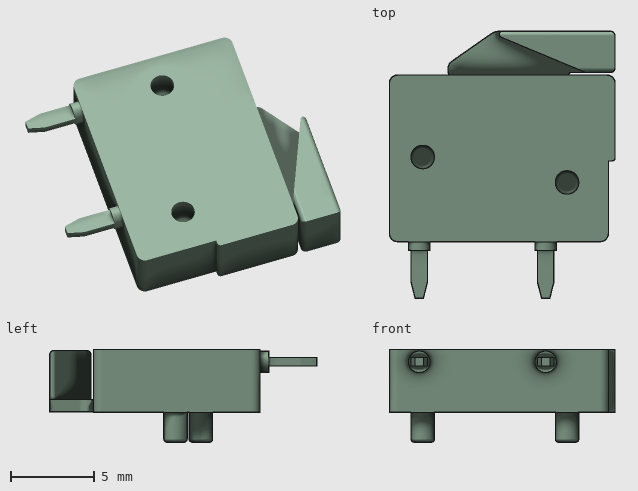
import cadquery as cq

body_width = 13.6
body_length = 10.05
body_height = 3.8
corner_radius = 0.5
step_depth = 0.4
step_y = 4.86
step_radius = 0.2

peg_diameter = 1.42
peg_length = 1.8
peg_tip_radius = 0.2
peg_centers = [(2.01, 5.1), (10.7, 3.57)]

terminal_count = 2
terminal_x = 1.8
terminal_pitch = 7.62
terminal_z = 3.05
collar_diameter = 1.3
collar_length = 0.52
blade_width = 1.0
blade_thickness = 0.53
blade_reach = 3.41
taper_length = 0.98
tip_width = blade_width / 2

actuator_reach = 2.64
actuator_back = body_length + actuator_reach
actuator_gap = 0.15
actuator_front = body_length + actuator_gap
actuator_end_radius = 0.3
plate_bottom = 0.03
plate_top = 0.77
plate_left = 3.53
plate_root = 0.29
plate_shoulder = 0.66
plate_back_left = 6.36
plate_root_right = 10.8
plate_pivot_radius = 0.58
plate_back_radius = 1.0
block_top = 3.74
block_back_left = 5.86
block_front_left = 11.83
block_nose_radius = 0.2
block_edge_radius = 0.29


def make_housing():
    housing = (
        cq.Workplane("XY")
        .box(body_width, body_length, body_height, centered=False)
        .edges("|Z").edges("<X or >Y").fillet(corner_radius)
    )
    step = (
        cq.Workplane("XY")
        .box(step_depth, step_y, body_height, centered=False)
        .translate((body_width - step_depth, 0, 0))
    )
    housing = housing.cut(step)
    front_corner = cq.selectors.NearestToPointSelector((body_width - step_depth, 0, body_height / 2))
    step_corner = cq.selectors.NearestToPointSelector((body_width, step_y, body_height / 2))
    housing = housing.edges(front_corner).fillet(corner_radius)
    return housing.edges(step_corner).fillet(step_radius)


def make_peg(top_z):
    """Round-tipped pins hanging down from top_z at every peg position."""
    return (
        cq.Workplane("XY")
        .workplane(offset=top_z)
        .pushPoints(peg_centers)
        .circle(peg_diameter / 2)
        .extrude(-peg_length)
        .faces("<Z").edges().fillet(peg_tip_radius)
    )


def make_terminal(center_x):
    """A round collar with a flat blade that narrows towards its tip."""
    collar = (
        cq.Workplane("XZ")
        .center(center_x, terminal_z)
        .circle(collar_diameter / 2)
        .extrude(collar_length)
    )
    taper_start = taper_length - blade_reach
    blade = (
        cq.Workplane("XY")
        .workplane(offset=terminal_z - blade_thickness / 2)
        .center(center_x, 0)
        .polyline([
            (-blade_width / 2, 0),
            (-blade_width / 2, taper_start),
            (-tip_width / 2, -blade_reach),
            (tip_width / 2, -blade_reach),
            (blade_width / 2, taper_start),
            (blade_width / 2, 0),
        ])
        .close()
        .extrude(blade_thickness)
    )
    return collar.union(blade)


def round_vertical_edge(solid, x, y, z, radius):
    """Fillet the vertical edge nearest to the point (x, y, z)."""
    return solid.edges("|Z").edges(cq.selectors.NearestToPointSelector((x, y, z))).fillet(radius)


def round_actuator_end(solid, z):
    """Round both +X corners, which the plate and the block share."""
    for y in (actuator_front, actuator_back):
        solid = round_vertical_edge(solid, body_width, y, z, actuator_end_radius)
    return solid


def make_plate():
    root_y = body_length - plate_root
    shoulder_y = body_length + plate_shoulder
    mid_z = (plate_bottom + plate_top) / 2
    plate = (
        cq.Workplane("XY")
        .workplane(offset=plate_bottom)
        .polyline([
            (plate_left, root_y),
            (plate_left, shoulder_y),
            (plate_back_left, actuator_back),
            (body_width, actuator_back),
            (body_width, actuator_front),
            (plate_root_right, actuator_front),
            (plate_root_right, root_y),
        ])
        .close()
        .extrude(plate_top - plate_bottom)
    )
    plate = round_vertical_edge(plate, plate_left, root_y, mid_z, plate_pivot_radius)
    plate = round_vertical_edge(plate, plate_left, shoulder_y, mid_z, plate_pivot_radius)
    plate = round_vertical_edge(plate, plate_back_left, actuator_back, mid_z, plate_back_radius)
    plate = round_vertical_edge(plate, plate_root_right, actuator_front, mid_z, actuator_gap)
    return round_actuator_end(plate, mid_z)


def make_block():
    mid_z = (plate_top + block_top) / 2
    block = (
        cq.Workplane("XY")
        .workplane(offset=plate_top)
        .polyline([
            (block_back_left, actuator_back),
            (body_width, actuator_back),
            (body_width, actuator_front),
            (block_front_left, actuator_front),
        ])
        .close()
        .extrude(block_top - plate_top)
    )
    block = round_vertical_edge(block, block_back_left, actuator_back, mid_z, block_nose_radius)
    block = round_actuator_end(block, mid_z)
    rounded_bar = (
        cq.Workplane("XY")
        .box(body_width, actuator_back - actuator_front, block_top, centered=False)
        .translate((0, actuator_front, 0))
        .edges("|X and >Z").fillet(block_edge_radius)
    )
    return block.intersect(rounded_bar)


result = make_housing().cut(make_peg(body_height)).union(make_peg(0))
for index in range(terminal_count):
    result = result.union(make_terminal(terminal_x + index * terminal_pitch))
result = result.union(make_plate()).union(make_block())